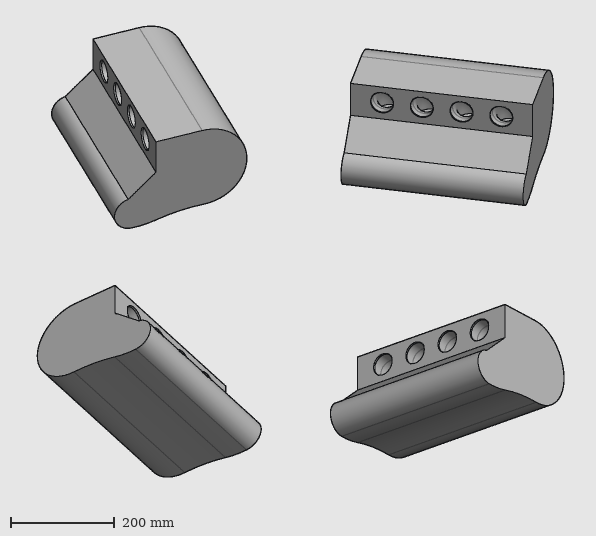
import cadquery as cq
import math


length = 360.0
back_radius = 88.2
front_face_y = -98.3
step_z = 12.0
top_tilt = 2.4
nose_radius = 35.3
nose_y = -148.0
nose_z = -73.5
ramp_end_y = -155.0
belly_bend_share = 0.66
wall = 3.5

bore_count = 4
bore_pitch = 78.5
bore_diameter = 45.0
bore_radius = bore_diameter / 2
bore_z = 48.5
bore_dip = 8.0
straight_length = 22.5
bend_radius = 59.5
bend_angle = 90.0 - bore_dip

dip = math.radians(bore_dip)
bore_direction = cq.Vector(0, math.cos(dip), -math.sin(dip))
bore_underside = cq.Vector(0, -math.sin(dip), -math.cos(dip))
bore_positions = [(i - (bore_count - 1) / 2) * bore_pitch for i in range(bore_count)]


def make_profile():
    """Outer Y-Z outline on a workplane at the -X end."""
    tilt = math.radians(top_tilt)
    crown = (-back_radius * math.sin(tilt), back_radius * math.cos(tilt))
    top_fall = (crown[0] - front_face_y) * math.tan(tilt)
    ramp_end_z = nose_z + math.sqrt(nose_radius**2 - (ramp_end_y - nose_y) ** 2)
    nose_bottom_z = nose_z - nose_radius
    belly_y = belly_bend_share * nose_y
    belly_z = -back_radius + belly_bend_share * (nose_bottom_z + back_radius)
    return (
        cq.Workplane("YZ", origin=(-length / 2, 0, 0))
        .moveTo(0, -back_radius)
        .threePointArc((back_radius, 0), crown)
        .lineTo(front_face_y, crown[1] - top_fall)
        .lineTo(front_face_y, step_z)
        .lineTo(ramp_end_y, ramp_end_z)
        .threePointArc((nose_y - nose_radius, nose_z), (nose_y, nose_bottom_z))
        .tangentArcPoint((belly_y, belly_z), relative=False)
        .tangentArcPoint((0, -back_radius), relative=False)
        .close()
    )


def make_filling():
    """Space inside the housing walls, one wall thickness in from every outer face."""
    return (
        make_profile()
        .offset2D(-wall)
        .extrude(length - 2 * wall)
        .translate((wall, 0, 0))
    )


def make_bore(x):
    """Space of one runner: a straight stretch through the front face, then a downward bend."""
    mouth = cq.Vector(x, front_face_y, bore_z)
    bend_start = mouth + bore_direction * straight_length
    section = cq.Workplane(cq.Plane(origin=bend_start, xDir=bore_underside, normal=bore_direction))
    straight = section.circle(bore_radius).extrude(-(straight_length + bore_radius))
    bend = section.circle(bore_radius).revolve(bend_angle, (bend_radius, 0), (bend_radius, 1))
    return straight.union(bend)


def make_housing():
    housing = make_profile().extrude(length).cut(make_filling())
    for x in bore_positions:
        housing = housing.cut(make_bore(x))
    return housing


def make_core():
    core = make_filling()
    for x in bore_positions:
        core = core.cut(make_bore(x))
    return core


housing = make_housing()
core = make_core()
result = cq.Compound.makeCompound([housing.solids().val(), core.solids().val()])